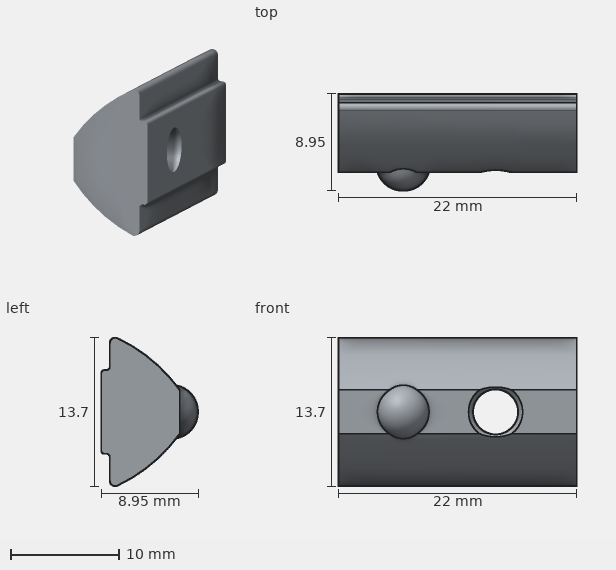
import cadquery as cq
import math

length = 22.0
overall_depth = 8.95
half_height = 6.853

body_depth = 7.24
flat_half_height = 2.02
tongue_depth = 0.8
tongue_half_height = 3.87
tongue_radius = 0.3
tip_radius = 0.5
flank_radius = 14.75

ball_x = 5.98
ball_radius = 2.5

hole_x = 14.5
hole_diameter = 4.14
countersink_diameter = 5.0
countersink_angle = 90.0

front_y = -body_depth
tip_y = -(tongue_depth + tip_radius)
tip_z = half_height - tip_radius
tip_to_flank_centre = flank_radius - tip_radius
span_y = tip_y - front_y
span_z = tip_z - flat_half_height
span = math.hypot(span_y, span_z)
along = (span**2 + flank_radius**2 - tip_to_flank_centre**2) / (2 * span)
across = math.sqrt(flank_radius**2 - along**2)
flank_y = front_y + (along * span_y + across * span_z) / span
flank_z = flat_half_height + (along * span_z - across * span_y) / span


def on_circle(centre_y, centre_z, radius, angle):
    return centre_y + radius * math.cos(angle), centre_z + radius * math.sin(angle)


def mirrored(point):
    return point[0], -point[1]


def make_body():
    corner_angle = math.atan2(flat_half_height - flank_z, front_y - flank_y)
    join_angle = math.atan2(tip_z - flank_z, tip_y - flank_y)
    flat_corner = (front_y, flat_half_height)
    flank_middle = on_circle(flank_y, flank_z, flank_radius, (corner_angle + join_angle) / 2)
    flank_end = on_circle(flank_y, flank_z, flank_radius, join_angle)
    tip_middle = on_circle(tip_y, tip_z, tip_radius, join_angle / 2)
    tip_end = (-tongue_depth, tip_z)
    tongue_root = (-tongue_depth, tongue_half_height)
    tongue_edge = (0, tongue_half_height)

    body = (
        cq.Workplane("YZ")
        .moveTo(*flat_corner)
        .threePointArc(flank_middle, flank_end)
        .threePointArc(tip_middle, tip_end)
        .lineTo(*tongue_root)
        .lineTo(*tongue_edge)
        .lineTo(*mirrored(tongue_edge))
        .lineTo(*mirrored(tongue_root))
        .lineTo(*mirrored(tip_end))
        .threePointArc(mirrored(tip_middle), mirrored(flank_end))
        .threePointArc(mirrored(flank_middle), mirrored(flat_corner))
        .close()
        .extrude(length)
    )
    tongue_corners = cq.selectors.BoxSelector(
        (0, -tongue_depth - tongue_radius, -tongue_half_height - tongue_radius),
        (length, tongue_radius, tongue_half_height + tongue_radius),
    )
    return body.edges("|X").edges(tongue_corners).fillet(tongue_radius)


def make_ball():
    ball_y = -overall_depth + ball_radius
    return cq.Workplane("XY").sphere(ball_radius).translate((ball_x, ball_y, 0))


def drill_countersunk_hole(body):
    hole = cq.Workplane("XZ").center(hole_x, 0).circle(hole_diameter / 2).extrude(body_depth)
    cone_height = countersink_diameter / 2 / math.tan(math.radians(countersink_angle / 2))
    cone = cq.Solid.makeCone(
        countersink_diameter / 2, 0, cone_height, pnt=(hole_x, front_y, 0), dir=(0, 1, 0)
    )
    return body.cut(hole).cut(cq.Workplane(cone))


result = drill_countersunk_hole(make_body()).union(make_ball())